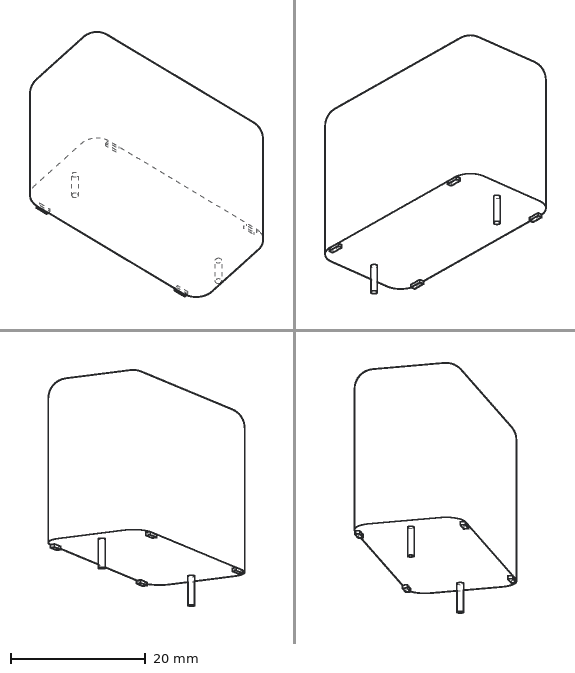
import cadquery as cq

housing_length = 34.0
housing_width = 17.0
overall_height = 29.5
edge_radius = 3.0

pin_diameter = 1.0
pin_length = 4.5
pin_pitch = 27.47

foot_length = 2.0
foot_width = 0.75
foot_height = 0.48

housing_height = overall_height - pin_length
pin_x = pin_pitch / 2
foot_x = pin_x + pin_diameter / 2 - foot_length / 2
foot_y = housing_width / 2 - foot_width / 2


def make_housing():
    block = cq.Workplane("XY").box(
        housing_length, housing_width, housing_height, centered=(True, True, False)
    )
    return block.edges("|Z or >Z").fillet(edge_radius)


def make_pin(x):
    return cq.Workplane("XY").center(x, 0).circle(pin_diameter / 2).extrude(-pin_length)


def make_foot(x, y):
    return cq.Workplane("XY").center(x, y).rect(foot_length, foot_width).extrude(-foot_height)


housing = make_housing()
pins = [make_pin(side * pin_x) for side in (-1, 1)]
feet = [
    make_foot(x_side * foot_x, y_side * foot_y)
    for x_side in (-1, 1)
    for y_side in (-1, 1)
]

result = cq.Compound.makeCompound([body.val() for body in [housing, *pins, *feet]])